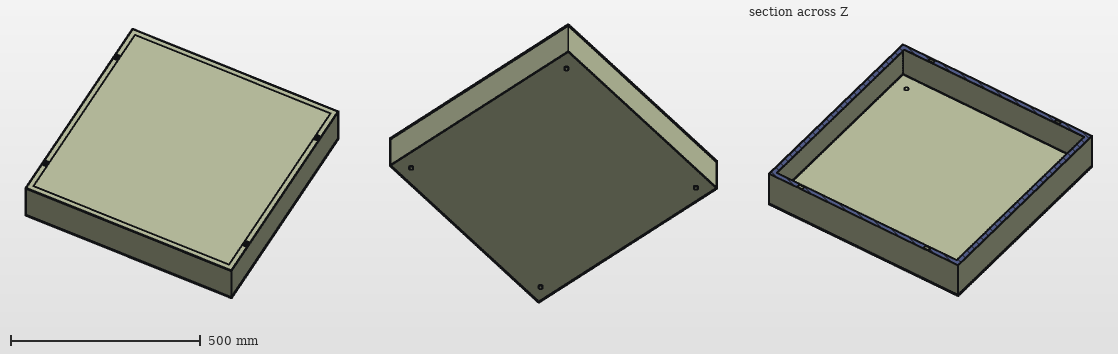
import cadquery as cq

side = 613.0
total_height = 119.5
foot_height = 3.5
foot_diameter = 11.5
foot_offset = 266.5

sheet = 2.0
bend_radius = 3.0
base_thickness = 2.5
flange_inset = 16.0
flange_thickness = 4.0

slot_edge_inset = 3.5
slot_width = 9.0
slot_length = 15.5
slot_pitch = 407.5
slot_shift = -3.5
bar_outer_diameter = 5.8
bar_inner_diameter = 3.75
bar_shift = 2.0

base_bottom = foot_height
base_top = base_bottom + base_thickness
sheet_bottom = total_height - sheet
inner_side = side - 2 * sheet
slot_x = side / 2 - slot_edge_inset - slot_width / 2
slot_centers = [
    (x, slot_shift + y)
    for x in (-slot_x, slot_x)
    for y in (-slot_pitch / 2, slot_pitch / 2)
]
foot_centers = [
    (x, y)
    for x in (-foot_offset, foot_offset)
    for y in (-foot_offset, foot_offset)
]


def square_plate(width, bottom, top):
    """Square plate centred on the Z axis between two levels."""
    return cq.Workplane("XY").workplane(offset=bottom).rect(width, width).extrude(top - bottom)


def slot_cutter():
    """All four slots, cut down through the top sheet and the flange frame."""
    return (
        cq.Workplane("XY")
        .workplane(offset=total_height)
        .pushPoints(slot_centers)
        .rect(slot_width, slot_length)
        .extrude(-(sheet + flange_thickness))
    )


def hanger_bar(x, y):
    """Half-round sheet bar along X, its crown level with the top of the cover."""
    axis_height = total_height - bar_outer_diameter / 2
    upper_half = (
        cq.Workplane("XY")
        .box(slot_width, bar_outer_diameter, bar_outer_diameter / 2, centered=(True, True, False))
    )
    tube = (
        cq.Workplane("YZ")
        .workplane(offset=-slot_width / 2)
        .circle(bar_outer_diameter / 2)
        .circle(bar_inner_diameter / 2)
        .extrude(slot_width)
    )
    return tube.intersect(upper_half).translate((x, y + bar_shift, axis_height))


def make_cover():
    """Top sheet and four walls with bent upper edges, slots and hanger bars."""
    shell = square_plate(side, base_top, total_height).faces(">Z").edges().fillet(bend_radius)
    shell = shell.cut(square_plate(inner_side, base_top, sheet_bottom))
    shell = shell.cut(slot_cutter())
    for x, y in slot_centers:
        shell = shell.union(hanger_bar(x, y))
    return shell


def make_flange_frame():
    """Square frame under the rim of the top sheet, open under each slot."""
    flange_bottom = sheet_bottom - flange_thickness
    frame = square_plate(inner_side, flange_bottom, sheet_bottom)
    opening = square_plate(side - 2 * flange_inset, flange_bottom, sheet_bottom)
    return frame.cut(opening).cut(slot_cutter())


def make_base():
    """Flat plate that closes the box from below."""
    return square_plate(side, base_bottom, base_top)


def make_foot(x, y):
    """Round foot under the base plate."""
    return cq.Workplane("XY").center(x, y).circle(foot_diameter / 2).extrude(foot_height)


cover = make_cover()
flange_frame = make_flange_frame()
base = make_base()
feet = [make_foot(x, y) for x, y in foot_centers]

result = cq.Compound.makeCompound(
    [cover.val(), flange_frame.val(), base.val(), *[foot.val() for foot in feet]]
)